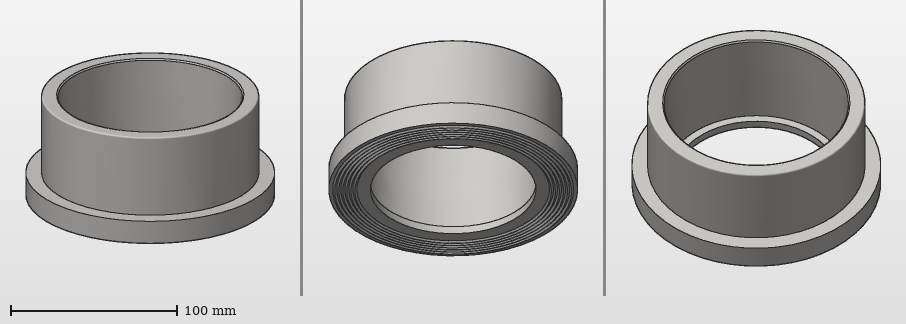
import cadquery as cq

height = 66.2
flange_diameter = 149.8
flange_thickness = 14.5
body_diameter = 131.0

ridge_outer_diameter = 145.0
ridge_inner_diameter = 115.8
ridge_count = 6
ridge_height = 1.2

socket_mouth_diameter = 110.9
socket_floor_diameter = 109.7
bore_diameter = 99.6
bore_length = 5.0

rim_fillet = 1.0
mouth_chamfer_width = 0.9
mouth_chamfer_depth = 0.9

flange_bottom = ridge_height
flange_top = flange_bottom + flange_thickness
socket_floor = flange_bottom + bore_length
chamfer_bottom = height - mouth_chamfer_depth
mouth_radius = socket_mouth_diameter / 2
bore_radius = bore_diameter / 2


def turned(profile):
    """Revolve a closed (radius, height) outline about the Z axis."""
    return cq.Workplane("XZ").polyline(profile).close().revolve(360, (0, 0, 0), (0, 1, 0))


def disc(diameter, bottom, top):
    """Solid cylinder about Z between two heights."""
    return cq.Workplane("XY").workplane(offset=bottom).circle(diameter / 2).extrude(top - bottom)


def flange_with_ridges():
    """Flange disc whose underside carries contiguous V-shaped ridges."""
    flange_radius = flange_diameter / 2
    ridge_outer_radius = ridge_outer_diameter / 2
    ridge_width = (ridge_outer_diameter - ridge_inner_diameter) / 2 / ridge_count
    profile = [
        (0, flange_top),
        (flange_radius, flange_top),
        (flange_radius, flange_bottom),
        (ridge_outer_radius, flange_bottom),
    ]
    for i in range(ridge_count):
        outer = ridge_outer_radius - i * ridge_width
        profile.append((outer - ridge_width / 2, 0))
        profile.append((outer - ridge_width, flange_bottom))
    profile.append((0, flange_bottom))
    return turned(profile)


def stepped_bore():
    """Cutter for the through hole, the tapered socket and its chamfered mouth."""
    return turned([
        (0, 0),
        (bore_radius, 0),
        (bore_radius, socket_floor),
        (socket_floor_diameter / 2, socket_floor),
        (mouth_radius, chamfer_bottom),
        (mouth_radius + mouth_chamfer_width, height),
        (0, height),
    ])


body = disc(body_diameter, flange_top, height).faces(">Z").edges().fillet(rim_fillet)
result = flange_with_ridges().union(body).cut(stepped_bore())